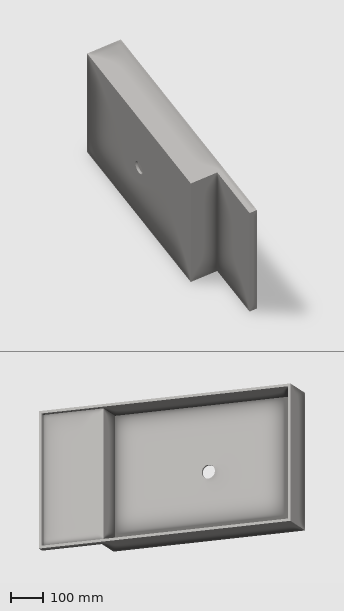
import cadquery as cq

length = 840.0
depth = 120.0
height = 440.0

body_length = 640.0
tab_depth = 26.0
wall = 8.0
hole_diameter = 44.0


def stepped_block(inset):
    """L-shaped block with every face but the back moved inward by inset."""
    left = inset
    right = length - inset
    step = body_length - inset
    front = inset
    tab_front = depth - tab_depth + inset
    return (
        cq.Workplane("XY", origin=(0, 0, inset))
        .moveTo(left, front)
        .lineTo(step, front)
        .lineTo(step, tab_front)
        .lineTo(right, tab_front)
        .lineTo(right, depth)
        .lineTo(left, depth)
        .close()
        .extrude(height - 2 * inset)
    )


tray = stepped_block(0).cut(stepped_block(wall))

hole_center = (body_length / 2, 0, height / 2)
hole = (
    cq.Workplane("XZ", origin=hole_center)
    .circle(hole_diameter / 2)
    .extrude(-depth)
)

result = tray.cut(hole)